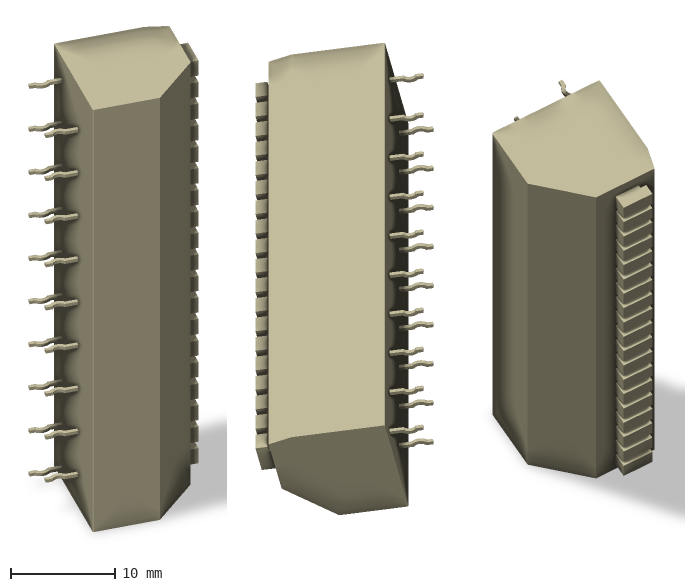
import cadquery as cq
import math

housing_width = 12.0
housing_depth = 11.48
housing_length = 49.0
left_bevel_width = 0.6
left_bevel_depth = 2.35
right_bevel_width = 4.85
right_bevel_depth = 4.7
base_chamfer = 0.1

pole_count = 19
pole_pitch = 2.5
first_pin_z = 1.28
first_button_z = 1.6

button_left_x = 1.75
button_right_x = 4.95
button_height = 1.52
button_length = 1.75
button_lip_overhang = 0.65
button_lip_gap = 0.35

left_pin_x = 2.4
pin_column_spacing = 5.0
pin_thickness = 0.4
pin_width = 0.35
pin_length = 3.3
kink_offset = 0.3
kink_center = 2.0
kink_inner_radius = 0.75


def make_housing():
    """Block with a steep bevel on the left and a large bevel on the right.

    Both long edges of the Y = 0 face are lightly chamfered.
    """
    return (
        cq.Workplane("XY")
        .moveTo(base_chamfer, 0)
        .lineTo(housing_width - base_chamfer, 0)
        .lineTo(housing_width, base_chamfer)
        .lineTo(housing_width, housing_depth - right_bevel_depth)
        .lineTo(housing_width - right_bevel_width, housing_depth)
        .lineTo(left_bevel_width, housing_depth)
        .lineTo(0, housing_depth - left_bevel_depth)
        .lineTo(0, base_chamfer)
        .close()
        .extrude(housing_length)
    )


def make_button(center_z):
    """Button whose left edge overhangs the housing as a small lip."""
    stem_left_x = button_left_x + button_lip_overhang
    lip_y = housing_depth + button_lip_gap
    top_y = housing_depth + button_height
    return (
        cq.Workplane("XY", origin=(0, 0, center_z))
        .moveTo(stem_left_x, housing_depth)
        .lineTo(button_right_x, housing_depth)
        .lineTo(button_right_x, top_y)
        .lineTo(button_left_x, top_y)
        .lineTo(button_left_x, lip_y)
        .lineTo(stem_left_x, lip_y)
        .close()
        .extrude(button_length / 2, both=True)
    )


def make_pin(center_x, center_z, kink_direction):
    """Flat pin along -Y with an arched kink; kink_direction is +1 or -1 along X."""
    inner_x = center_x - kink_direction * pin_thickness / 2
    outer_x = center_x + kink_direction * pin_thickness / 2
    center_distance = kink_inner_radius - kink_offset
    outer_radius = kink_inner_radius + pin_thickness
    inner_half_chord = math.sqrt(kink_inner_radius**2 - center_distance**2)
    outer_half_chord = math.sqrt(outer_radius**2 - (center_distance + pin_thickness) ** 2)
    crest_shift = kink_direction * kink_offset
    return (
        cq.Workplane("XY", origin=(0, 0, center_z))
        .moveTo(inner_x, 0)
        .lineTo(inner_x, -kink_center + inner_half_chord)
        .threePointArc(
            (inner_x + crest_shift, -kink_center),
            (inner_x, -kink_center - inner_half_chord),
        )
        .lineTo(inner_x, -pin_length)
        .lineTo(outer_x, -pin_length)
        .lineTo(outer_x, -kink_center - outer_half_chord)
        .threePointArc(
            (outer_x + crest_shift, -kink_center),
            (outer_x, -kink_center + outer_half_chord),
        )
        .lineTo(outer_x, 0)
        .close()
        .extrude(pin_width / 2, both=True)
    )


result = make_housing()
for pole in range(pole_count):
    pole_z = pole * pole_pitch
    in_left_column = pole % 2 == 0
    pin_x = left_pin_x if in_left_column else left_pin_x + pin_column_spacing
    kink_direction = 1 if in_left_column else -1
    result = result.union(make_button(first_button_z + pole_z))
    result = result.union(make_pin(pin_x, first_pin_z + pole_z, kink_direction))